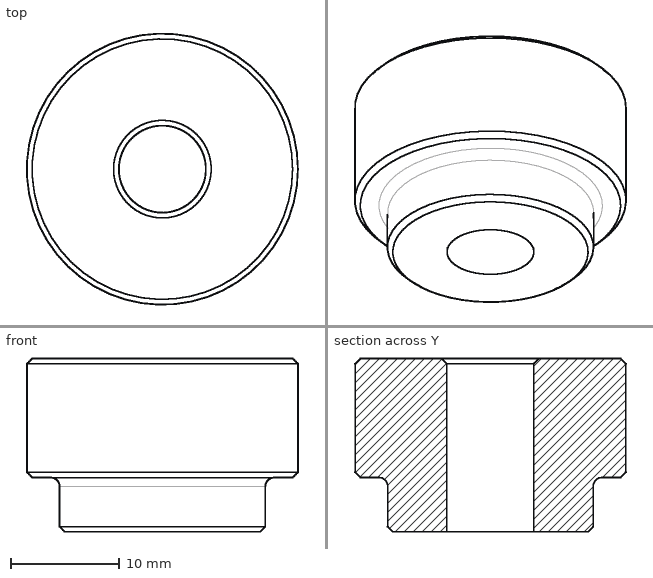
import cadquery as cq

head_diameter = 25.0
head_height = 11.0
spigot_diameter = 19.0
spigot_height = 5.0
bore_diameter = 8.0
edge_chamfer = 0.5
neck_fillet = 0.8

overall_height = spigot_height + head_height


def make_spigot():
    """Lower centring spigot with a chamfered lead-in edge."""
    spigot = cq.Workplane("XY").circle(spigot_diameter / 2).extrude(spigot_height)
    return spigot.faces("<Z").chamfer(edge_chamfer)


def make_head():
    """Wide upper cylinder, chamfered on both rims."""
    head = cq.Workplane("XY").workplane(offset=spigot_height)
    head = head.circle(head_diameter / 2).extrude(head_height)
    return head.faces("<Z or >Z").chamfer(edge_chamfer)


def fillet_neck(body):
    """Round the inside corner between the spigot and the underside of the head."""
    neck_edge = cq.selectors.RadiusNthSelector(0)
    shoulder = body.faces(cq.selectors.NearestToPointSelector((0, 0, spigot_height)))
    return body.newObject(shoulder.edges(neck_edge).vals()).fillet(neck_fillet)


def cut_bore(body):
    """Through bore with a countersunk upper rim."""
    body = body.faces(">Z").workplane().hole(bore_diameter)
    return body.faces(">Z").edges(cq.selectors.RadiusNthSelector(0)).chamfer(edge_chamfer)


result = cut_bore(fillet_neck(make_head().union(make_spigot())))